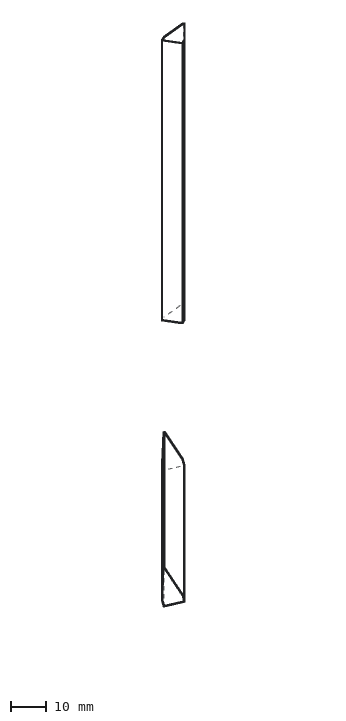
import cadquery as cq

width = 6.0
depth = 11.4
length = 88.9

side_height = 2.05
tip_width = 0.4

half_width = width / 2
half_tip = tip_width / 2
base_y = -depth / 2
tip_y = depth / 2
shoulder_y = base_y + side_height

profile = [
    (-half_width, base_y),
    (half_width, base_y),
    (half_width, shoulder_y),
    (half_tip, tip_y),
    (-half_tip, tip_y),
    (-half_width, shoulder_y),
]

result = cq.Workplane("XY").polyline(profile).close().extrude(length)